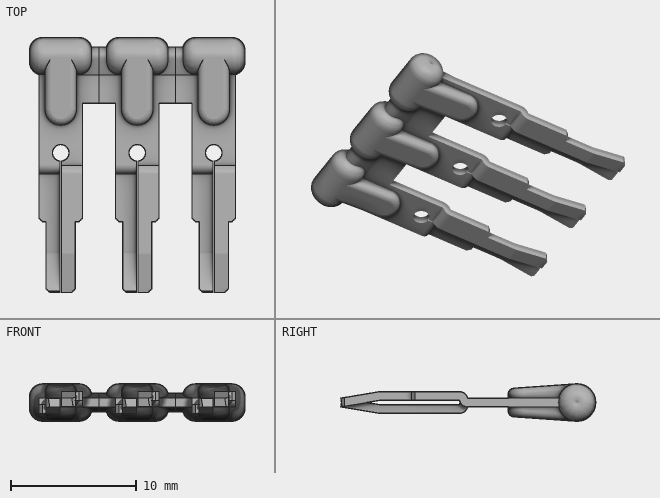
import cadquery as cq
import math

way_count = 3
pitch = 6.1

knob_radius = 1.5
knob_length = 5.0
knob_end_rounding = 1.05
rib_width = 2.5
rib_end_centre_y = -4.25
rib_slope = math.radians(4.0)
rib_edge_rounding = 0.5
bridge_radius = 0.75
bridge_front_y = -1.5

sheet = 0.7
contact_width = 3.5
web_front_y = -3.75
overall_length = 20.34
tip_y = knob_radius - overall_length
blade_width = 2.35
shoulder_y = -13.2
corner_chamfer = 0.3
hole_diameter = 1.3
hole_y = -7.7
slit_width = 0.1

tine_inner_z = 0.17
bow_start_y = -8.7
taper_start_y = -15.7
taper_angle = math.radians(9.5)

half_sheet = sheet / 2
tine_outer_z = tine_inner_z + sheet


def box_between(x0, x1, y0, y1, z0, z1):
    """Axis-aligned box given by its limits."""
    return cq.Workplane("XY").box(x1 - x0, y1 - y0, z1 - z0, centered=False).translate((x0, y0, z0))


def contact_outline():
    """Plan of one contact: wide body, chamfered shoulders, and a blade with a chamfered tip."""
    body = contact_width / 2
    blade = blade_width / 2
    right_side = [
        (body, 0),
        (body, shoulder_y + corner_chamfer),
        (body - corner_chamfer, shoulder_y),
        (blade, shoulder_y),
        (blade, tip_y + corner_chamfer),
        (blade - corner_chamfer, tip_y),
    ]
    left_side = [(-x, y) for x, y in reversed(right_side)]
    return cq.Workplane("XY").polyline(right_side + left_side).close()


def raised_tine_profile():
    """Side profile (Y, Z) of the flat sheet and the upper tine that bends up out of it."""
    bend_sweep = math.acos((half_sheet - tine_inner_z) / sheet)
    bend_run = sheet * math.sin(bend_sweep)
    bow_end_y = bow_start_y - bend_run
    mid_run = sheet * math.sin(bend_sweep / 2)
    mid_rise = sheet * math.cos(bend_sweep / 2)

    sine = math.sin(taper_angle)
    cosine = math.cos(taper_angle)
    leg_length = (taper_start_y - sheet * sine - tip_y) / cosine
    inner_tip = (taper_start_y - leg_length * cosine, tine_inner_z - leg_length * sine)
    outer_tip = (inner_tip[0] - sheet * sine, inner_tip[1] + sheet * cosine)
    taper_mid = (
        taper_start_y - sheet * math.sin(taper_angle / 2),
        tine_inner_z + sheet * math.cos(taper_angle / 2),
    )
    taper_end = (taper_start_y - sheet * sine, tine_inner_z + sheet * cosine)

    return (
        cq.Workplane("YZ")
        .moveTo(0, -half_sheet)
        .lineTo(bow_start_y, -half_sheet)
        .threePointArc((bow_start_y - mid_run, half_sheet - mid_rise), (bow_end_y, tine_inner_z))
        .lineTo(taper_start_y, tine_inner_z)
        .lineTo(*inner_tip)
        .lineTo(*outer_tip)
        .lineTo(*taper_end)
        .threePointArc(taper_mid, (taper_start_y, tine_outer_z))
        .lineTo(bow_end_y, tine_outer_z)
        .threePointArc((bow_end_y + mid_run, tine_inner_z + mid_rise), (bow_start_y, half_sheet))
        .lineTo(0, half_sheet)
        .close()
    )


def make_contact(bridged_sides):
    """One contact; its web reaches half a pitch towards each neighbour."""
    half_width = contact_width / 2
    upper_half = raised_tine_profile().extrude(half_width)
    lower_half = upper_half.rotate((0, 0, 0), (0, 1, 0), 180)
    blank = contact_outline().extrude(tine_outer_z, both=True)
    contact = upper_half.union(lower_half).intersect(blank)

    half_slit = slit_width / 2
    contact = contact.cut(box_between(-half_slit, half_slit, tip_y, hole_y, -tine_outer_z, tine_outer_z))
    hole = cq.Workplane("XY").center(0, hole_y).circle(hole_diameter / 2).extrude(sheet, both=True)
    contact = contact.cut(hole)

    for side in bridged_sides:
        x0, x1 = sorted((0, side * pitch / 2))
        contact = contact.union(box_between(x0, x1, web_front_y, 0, -half_sheet, half_sheet))
    return contact


def make_knob():
    """Bar turned about X; each end is rounded over its rim and dips to a shallow dimple on the axis."""
    end_centre_x = knob_length / 2 - knob_end_rounding
    end_centre_r = knob_radius - knob_end_rounding
    dimple_x = end_centre_x + math.sqrt(knob_end_rounding**2 - end_centre_r**2)
    rim_x = end_centre_x + knob_end_rounding * math.cos(math.pi / 4)
    rim_r = end_centre_r + knob_end_rounding * math.sin(math.pi / 4)
    return (
        cq.Workplane("XY")
        .moveTo(-dimple_x, 0)
        .threePointArc((-rim_x, rim_r), (-end_centre_x, knob_radius))
        .lineTo(end_centre_x, knob_radius)
        .threePointArc((rim_x, rim_r), (dimple_x, 0))
        .close()
        .revolve(360, (0, 0, 0), (1, 0, 0))
    )


def make_rib():
    """Upper rib: its sloping top leaves the knob tangentially, its front end is round."""
    half_width = rib_width / 2
    back_y = -knob_radius * math.sin(rib_slope)
    back_z = knob_radius * math.cos(rib_slope)
    front_y = rib_end_centre_y - half_width
    front_z = back_z - (back_y - front_y) * math.tan(rib_slope)
    wedge = (
        cq.Workplane("YZ")
        .polyline([(back_y, 0), (back_y, back_z), (front_y, front_z), (front_y, 0)])
        .close()
        .extrude(half_width, both=True)
    )
    plan = (
        cq.Workplane("XY")
        .moveTo(half_width, back_y)
        .lineTo(half_width, rib_end_centre_y)
        .threePointArc((0, front_y), (-half_width, rib_end_centre_y))
        .lineTo(-half_width, back_y)
        .close()
        .extrude(knob_radius)
    )
    rib = wedge.intersect(plan)
    rounded_edges = rib.faces(">Z").edges("not >Y")
    return rounded_edges.fillet(rib_edge_rounding)


def make_bridge(side):
    """Half bridge to a neighbour: a round back with flanks running tangentially to the web."""
    reach = math.hypot(bridge_front_y, half_sheet)
    tangent_angle = math.atan2(half_sheet, -bridge_front_y) + math.acos(bridge_radius / reach)
    tangent_y = -bridge_radius * math.cos(tangent_angle)
    tangent_z = bridge_radius * math.sin(tangent_angle)
    return (
        cq.Workplane("YZ")
        .moveTo(bridge_front_y, -half_sheet)
        .lineTo(tangent_y, -tangent_z)
        .threePointArc((bridge_radius, 0), (tangent_y, tangent_z))
        .lineTo(bridge_front_y, half_sheet)
        .close()
        .extrude(side * pitch / 2)
    )


def make_grip(bridged_sides, contact):
    """One grip, slotted where the contact is moulded in."""
    rib = make_rib()
    grip = make_knob().union(rib).union(rib.mirror("XY"))
    for side in bridged_sides:
        grip = grip.union(make_bridge(side))
    return grip.cut(contact)


bodies = []
for way in range(way_count):
    centre_x = (way - (way_count - 1) / 2) * pitch
    bridged_sides = []
    if way > 0:
        bridged_sides.append(-1)
    if way < way_count - 1:
        bridged_sides.append(1)
    contact = make_contact(bridged_sides)
    grip = make_grip(bridged_sides, contact)
    for body in (contact, grip):
        bodies.extend(body.translate((centre_x, 0, 0)).solids().vals())

result = cq.Compound.makeCompound(bodies)